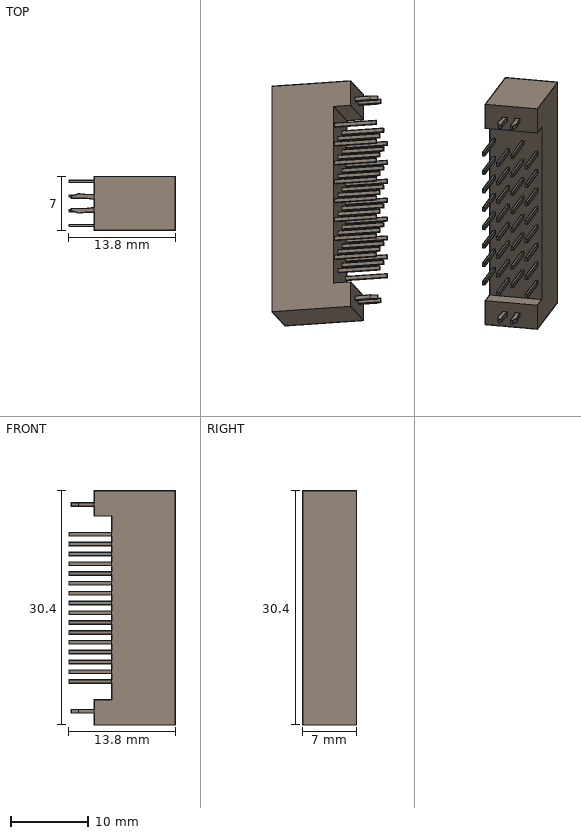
import cadquery as cq

HOUSING_LENGTH = 30.37
HOUSING_WIDTH = 7.0
OVERALL_DEPTH = 13.8
FOOT_HEIGHT = 3.3
FOOT_PROJECTION = 2.25

PIN_LENGTH = 5.53
PIN_WIDTH = 0.3
PIN_HEIGHT = 0.5
PIN_ROWS = 16
PIN_COLUMNS = 4
PIN_ROWS_SPAN = 19.07
PIN_COLUMNS_SPAN = 5.7

LOCK_LENGTH = 2.98
LOCK_HEIGHT = 0.5
LOCK_OFFSET_Z = 13.4
LOCK_ROOT_LENGTH = 0.95
LOCK_BARB_DISTANCE = 2.03
LOCK_ROOT_INNER_Y = 0.52
LOCK_TIP_INNER_Y = 0.65
LOCK_TIP_OUTER_Y = 0.95
LOCK_ROOT_OUTER_Y = 1.15
LOCK_BARB_Y = 1.28

BODY_DEPTH = OVERALL_DEPTH - PIN_LENGTH


def make_housing():
    """Main block with the two end feet."""
    housing = cq.Workplane("XY").box(
        BODY_DEPTH, HOUSING_WIDTH, HOUSING_LENGTH, centered=(False, True, True)
    )
    foot_center_z = (HOUSING_LENGTH - FOOT_HEIGHT) / 2
    feet = (
        cq.Workplane("YZ")
        .pushPoints([(0, -foot_center_z), (0, foot_center_z)])
        .rect(HOUSING_WIDTH, FOOT_HEIGHT)
        .extrude(-FOOT_PROJECTION)
    )
    return housing.union(feet)


def make_pins():
    """Staggered contact pins; the top row starts at the +Y column."""
    row_pitch = PIN_ROWS_SPAN / (PIN_ROWS - 1)
    column_pitch = PIN_COLUMNS_SPAN / (PIN_COLUMNS - 1)
    centers = []
    for row in range(PIN_ROWS):
        z = PIN_ROWS_SPAN / 2 - row * row_pitch
        for column in range(row % 2, PIN_COLUMNS, 2):
            y = PIN_COLUMNS_SPAN / 2 - column * column_pitch
            centers.append((y, z))
    return cq.Workplane("YZ").pushPoints(centers).rect(PIN_WIDTH, PIN_HEIGHT).extrude(-PIN_LENGTH)


def make_lock_prong(side, center_z):
    """One barbed prong; side is +1 or -1 for the +Y or -Y prong."""
    root_x = -FOOT_PROJECTION
    bend_x = root_x - LOCK_ROOT_LENGTH
    barb_x = root_x - LOCK_BARB_DISTANCE
    tip_x = root_x - LOCK_LENGTH
    outline = [
        (root_x, side * LOCK_ROOT_INNER_Y),
        (bend_x, side * LOCK_TIP_INNER_Y),
        (tip_x, side * LOCK_TIP_INNER_Y),
        (tip_x, side * LOCK_TIP_OUTER_Y),
        (barb_x, side * LOCK_BARB_Y),
        (bend_x, side * LOCK_ROOT_OUTER_Y),
        (root_x, side * LOCK_ROOT_OUTER_Y),
    ]
    return (
        cq.Workplane("XY", origin=(0, 0, center_z - LOCK_HEIGHT / 2))
        .polyline(outline)
        .close()
        .extrude(LOCK_HEIGHT)
    )


result = make_housing().union(make_pins())
for lock_z in (-LOCK_OFFSET_Z, LOCK_OFFSET_Z):
    for lock_side in (-1, 1):
        result = result.union(make_lock_prong(lock_side, lock_z))